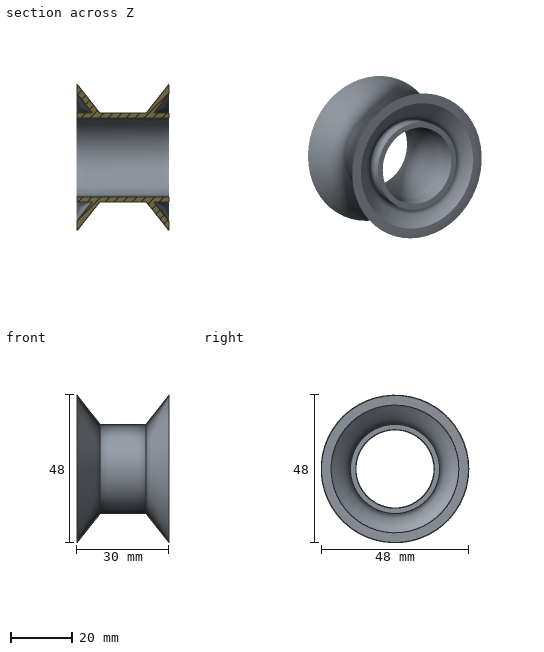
import cadquery as cq
import math

length = 30.0
flange_radius = 24.0
tube_outer_radius = 14.5
tube_inner_radius = 12.7
waist_length = 15.0
flange_wall = 2.0

half_length = length / 2
half_waist = waist_length / 2

cone_slope = (flange_radius - tube_outer_radius) / (half_length - half_waist)
rim_width = flange_wall * math.sqrt(1 + cone_slope**2)
mouth_radius = flange_radius - rim_width
recess_depth = (mouth_radius - tube_outer_radius) / cone_slope
recess_floor = half_length - recess_depth


def make_tube():
    """Straight bored tube centred on the origin."""
    return (
        cq.Workplane("YZ")
        .workplane(offset=-half_length)
        .circle(tube_outer_radius)
        .circle(tube_inner_radius)
        .extrude(length)
    )


def make_flange(side):
    """Conical flange at the +X (side = 1) or -X (side = -1) end, rooted in the tube wall."""
    profile = [
        (side * half_waist, tube_inner_radius),
        (side * half_waist, tube_outer_radius),
        (side * half_length, flange_radius),
        (side * half_length, mouth_radius),
        (side * recess_floor, tube_outer_radius),
        (side * recess_floor, tube_inner_radius),
    ]
    return (
        cq.Workplane("XY")
        .polyline(profile)
        .close()
        .revolve(360, (0, 0, 0), (1, 0, 0))
    )


result = make_tube()
for end in (-1, 1):
    result = result.union(make_flange(end))